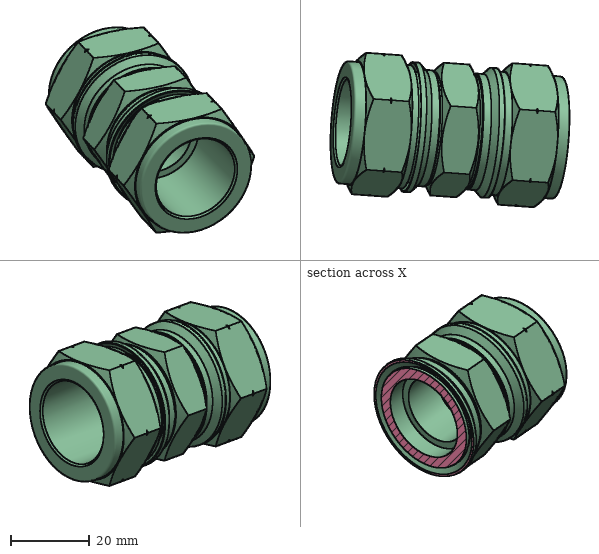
import cadquery as cq
import math


END_X = 28.15
NUT_OUTER_X = 25.2
NUT_INNER_X = 13.05
COLLAR_X = 11.4
FLANGE_OUTER_X = 10.95
FLANGE_INNER_X = 9.5
NECK_END_X = 9.5
SHOULDER_X = 5.5
BODY_HEX_X = 4.95

NOSE_DIA = 31.5
COLLAR_DIA = 31.7
THREAD_GAP_DIA = 28.55
FLANGE_DIA = 33.4
FLANGE_RIM = 0.3
NECK_DIA = 26.8
SHOULDER_DIA = 29.9
RELIEF_DIA = 29.05
NOSE_FILLET = 0.55
COLLAR_FILLET = 0.15
SHOULDER_CHAMFER = 0.2

NUT_CORNER_DIA = 36.95
NUT_FLATS = NUT_CORNER_DIA * math.cos(math.pi / 6)
BODY_HEX_FLATS = 30.05
HEX_CHAMFER_ANGLE = 30.0

MARK_DEPTH = 0.365
MARK_WIDTH = 0.4

THROUGH_DIA = 18.3
SOCKET_DIA = 22.2
SOCKET_DEPTH = 22.55
SOCKET_CHAMFER = 0.5


def disc(x_start, x_end, diameter):
    """Round section along X between two stations."""
    return cq.Workplane("YZ", origin=(x_start, 0, 0)).circle(diameter / 2).extrude(x_end - x_start)


def turned(points):
    """Revolve an (x, radius) outline about the X axis."""
    return cq.Workplane("XY").polyline(points).close().revolve(360, (0, 0, 0), (1, 0, 0))


def chamfered_hex(x_start, x_end, flats, face_dia):
    """Hexagonal section whose corners are turned down by a cone at both ends."""
    corner_radius = flats / 2 / math.cos(math.pi / 6)
    face_radius = face_dia / 2
    limit_radius = corner_radius + 0.55
    chamfer_length = (limit_radius - face_radius) * math.tan(math.radians(HEX_CHAMFER_ANGLE))
    prism = (
        cq.Workplane("YZ", origin=(x_start, 0, 0))
        .polygon(6, 2 * corner_radius)
        .extrude(x_end - x_start)
    )
    envelope = turned([
        (x_start, 0),
        (x_start, face_radius),
        (x_start + chamfer_length, limit_radius),
        (x_end - chamfer_length, limit_radius),
        (x_end, face_radius),
        (x_end, 0),
    ])
    return prism.intersect(envelope)


def corner_mark(x_center):
    """Ring with a V section that notches the corners of a nut."""
    corner_radius = NUT_CORNER_DIA / 2
    root_radius = corner_radius - MARK_DEPTH
    outer_radius = corner_radius + MARK_DEPTH
    return turned([
        (x_center, root_radius),
        (x_center + MARK_WIDTH, outer_radius),
        (x_center - MARK_WIDTH, outer_radius),
    ])


def nut():
    """Compression nut at the +X end: nose, hex and collar."""
    nose = disc(NUT_OUTER_X, END_X, NOSE_DIA).faces(">X").edges().fillet(NOSE_FILLET)
    hexagon = chamfered_hex(NUT_INNER_X, NUT_OUTER_X, NUT_FLATS, NUT_FLATS)
    hexagon = hexagon.cut(corner_mark((NUT_INNER_X + NUT_OUTER_X) / 2))
    collar = disc(COLLAR_X, NUT_INNER_X, COLLAR_DIA).faces("<X").edges().fillet(COLLAR_FILLET)
    return nose.union(hexagon).union(collar)


def body_half():
    """Turned half of the body on the +X side, from the middle out to the nut."""
    gap_radius = THREAD_GAP_DIA / 2
    flange_radius = FLANGE_DIA / 2
    shoulder_radius = SHOULDER_DIA / 2
    relief_radius = RELIEF_DIA / 2
    neck_radius = NECK_DIA / 2
    rim_radius = flange_radius - FLANGE_RIM
    hollow_floor_x = FLANGE_OUTER_X - (rim_radius - neck_radius)
    cone_end_x = FLANGE_INNER_X - (flange_radius - shoulder_radius)
    return turned([
        (0, 0),
        (0, relief_radius),
        (SHOULDER_X, relief_radius),
        (SHOULDER_X, shoulder_radius - SHOULDER_CHAMFER),
        (SHOULDER_X + SHOULDER_CHAMFER, shoulder_radius),
        (cone_end_x, shoulder_radius),
        (FLANGE_INNER_X, flange_radius),
        (FLANGE_OUTER_X, flange_radius),
        (FLANGE_OUTER_X, rim_radius),
        (hollow_floor_x, neck_radius),
        (NECK_END_X, neck_radius),
        (NECK_END_X, gap_radius),
        (COLLAR_X, gap_radius),
        (COLLAR_X, 0),
    ])


def socket():
    """Tube socket at the +X end with a chamfered mouth."""
    socket_radius = SOCKET_DIA / 2
    socket_floor_x = END_X - SOCKET_DEPTH
    return turned([
        (socket_floor_x, 0),
        (socket_floor_x, socket_radius),
        (END_X - SOCKET_CHAMFER, socket_radius),
        (END_X, socket_radius + SOCKET_CHAMFER),
        (END_X, 0),
    ])


half = body_half().union(nut()).cut(socket())
middle_hex = chamfered_hex(-BODY_HEX_X, BODY_HEX_X, BODY_HEX_FLATS, RELIEF_DIA)
through_hole = disc(-END_X, END_X, THROUGH_DIA)

result = half.union(half.mirror("YZ")).union(middle_hex).cut(through_hole)